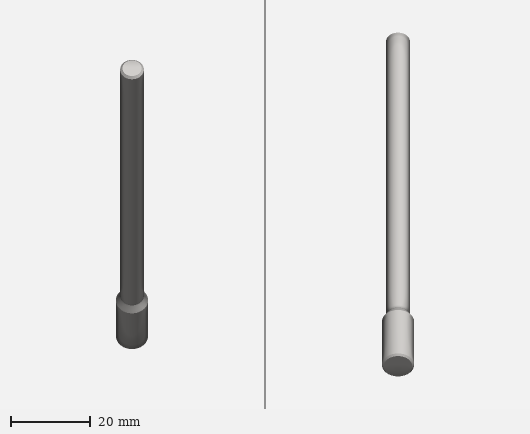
import cadquery as cq

total_length = 117.0
rod_diameter = 6.0
head_diameter = 8.1
head_length = 18.0
shoulder_height = 2.0
rod_chamfer = 0.6
head_chamfer = 0.5

rod_length = total_length - head_length


def make_head():
    """Cylindrical head with a chamfered bottom and a shoulder tapering to the rod."""
    rod_radius = rod_diameter / 2
    head_radius = head_diameter / 2
    return (
        cq.Workplane("XZ")
        .moveTo(0, 0)
        .lineTo(head_radius - head_chamfer, 0)
        .lineTo(head_radius, head_chamfer)
        .lineTo(head_radius, head_length - shoulder_height)
        .lineTo(rod_radius, head_length)
        .lineTo(0, head_length)
        .close()
        .revolve(360, (0, 0, 0), (0, 1, 0))
    )


def make_rod():
    """Plain rod standing on the head, with a chamfered free end."""
    return (
        cq.Workplane("XY", origin=(0, 0, head_length))
        .circle(rod_diameter / 2)
        .extrude(rod_length)
        .faces(">Z")
        .chamfer(rod_chamfer)
    )


head = make_head()
rod = make_rod()

result = cq.Compound.makeCompound([head.val(), rod.val()])